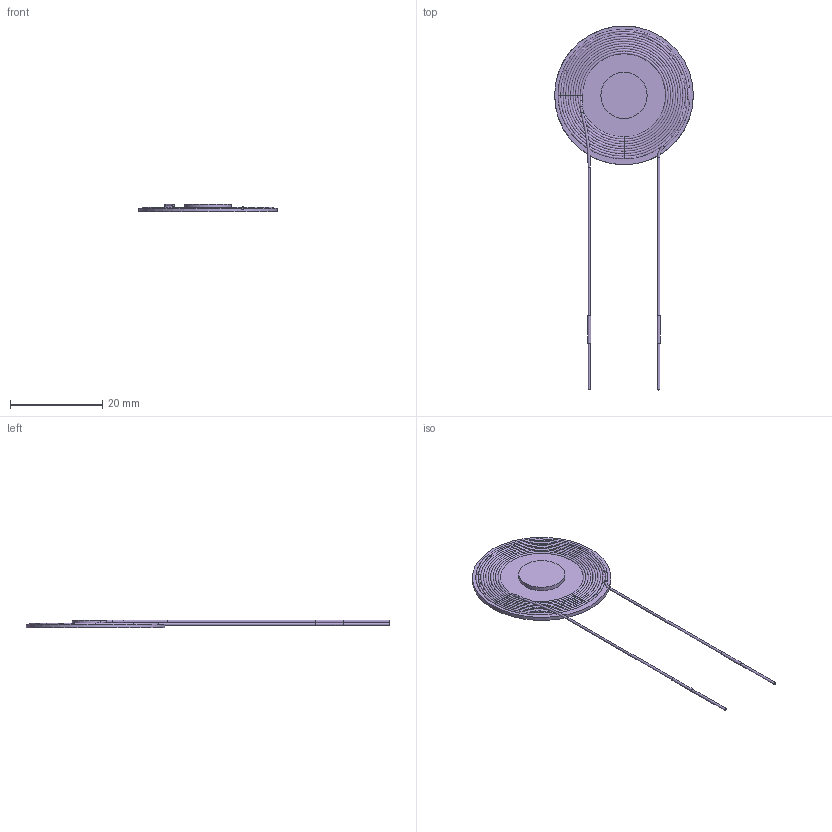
import cadquery as cq
import math

disc_diameter = 30.0
disc_thickness = 0.8
pad_diameter = 10.0
total_height = 1.7
total_length = 78.72

wire_diameter = 0.5
turn_count = 10
turn_pitch = 0.53
first_turn_radius = 9.25
coil_z = disc_thickness
last_turn_radius = first_turn_radius + (turn_count - 1) * turn_pitch
START_ANGLE = 180
STEP_ANGLE = -90

lead_x = 7.5
lead_end_y = disc_diameter / 2 - total_length
sleeve_diameter = 0.6
sleeve_start_y = -47.6
sleeve_end_y = -53.6

raised_z = total_height - sleeve_diameter / 2
climb_end_y = -2.4
inner_turn_end_y = -3.7
inner_bend_end_y = -15.5

outer_bend_radius = 3.0

BACKWARD = cq.Vector(0, -1, 0)
FORWARD = cq.Vector(0, 1, 0)


def make_disc():
    disc = cq.Workplane("XY").circle(disc_diameter / 2).extrude(disc_thickness)
    pad = cq.Workplane("XY").circle(pad_diameter / 2).extrude(total_height)
    return disc.union(pad)


def sweep_wire(start, direction, edges):
    """Round wire along joined edges, beginning at start and heading in direction."""
    plane = cq.Plane(origin=start, normal=direction)
    path = cq.Workplane(cq.Wire.assembleEdges(edges))
    return cq.Workplane(plane).circle(wire_diameter / 2).sweep(path)


def coil_point(radius, degrees):
    angle = math.radians(degrees)
    return cq.Vector(radius * math.cos(angle), radius * math.sin(angle), coil_z)


def turn_arc(radius, end_angle):
    """Clockwise arc from START_ANGLE to end_angle."""
    middle_angle = (START_ANGLE + end_angle) / 2
    return cq.Edge.makeThreePointArc(
        coil_point(radius, START_ANGLE),
        coil_point(radius, middle_angle),
        coil_point(radius, end_angle),
    )


def make_turn(radius):
    """Circular three quarters of a turn."""
    return sweep_wire(coil_point(radius, START_ANGLE), FORWARD, [turn_arc(radius, STEP_ANGLE)])


def make_step(radius):
    """Quarter ellipse joining a turn to the next larger one."""
    next_radius = radius + turn_pitch
    quarter_ellipse = cq.Edge.makeEllipse(
        next_radius,
        radius,
        pnt=cq.Vector(0, 0, coil_z),
        angle1=START_ANGLE,
        angle2=STEP_ANGLE + 360,
        sense=1,
    )
    return sweep_wire(coil_point(next_radius, START_ANGLE), BACKWARD, [quarter_ellipse])


def make_straight_lead(x, start_y, z):
    """Straight wire toward -Y with its sleeve."""

    def cylinder(diameter, from_y, to_y):
        plane = cq.Plane(origin=(x, from_y, z), xDir=(1, 0, 0), normal=BACKWARD)
        return cq.Workplane(plane).circle(diameter / 2).extrude(from_y - to_y)

    wire = cylinder(wire_diameter, start_y, lead_end_y)
    sleeve = cylinder(sleeve_diameter, sleeve_start_y, sleeve_end_y)
    return wire.union(sleeve)


def make_inner_lead():
    start = cq.Vector(-first_turn_radius, 0, coil_z)
    climb_end = cq.Vector(-first_turn_radius, climb_end_y, raised_z)
    bend_end = cq.Vector(-lead_x, inner_bend_end_y, raised_z)
    climb_middle = (start + climb_end) * 0.5
    turn_share = (inner_turn_end_y - climb_end_y) / (inner_bend_end_y - climb_end_y)
    turn_end = climb_end + (bend_end - climb_end) * turn_share

    lower_climb = cq.Edge.makeTangentArc(start, BACKWARD, climb_middle)
    upper_climb = cq.Edge.makeTangentArc(climb_middle, lower_climb.tangentAt(1), climb_end)
    turn = cq.Edge.makeTangentArc(climb_end, BACKWARD, turn_end)
    bend = cq.Edge.makeTangentArc(turn_end, turn.tangentAt(1), bend_end)
    curved = sweep_wire(start, BACKWARD, [lower_climb, upper_climb, turn, bend])
    return curved.union(make_straight_lead(-lead_x, inner_bend_end_y, raised_z))


def make_last_turn_and_outer_lead():
    bend_center_x = lead_x + outer_bend_radius
    center_distance = last_turn_radius + outer_bend_radius
    bend_center_y = -math.sqrt(center_distance**2 - bend_center_x**2)
    touch_angle = math.degrees(math.atan2(bend_center_y, bend_center_x))
    touch_point = coil_point(last_turn_radius, touch_angle)
    bend_end = cq.Vector(lead_x, bend_center_y, coil_z)

    turn = turn_arc(last_turn_radius, touch_angle)
    bend = cq.Edge.makeTangentArc(touch_point, turn.tangentAt(1), bend_end)
    curved = sweep_wire(coil_point(last_turn_radius, START_ANGLE), FORWARD, [turn, bend])
    return curved.union(make_straight_lead(lead_x, bend_center_y, coil_z))


result = make_disc()
for turn_index in range(turn_count - 1):
    turn_radius = first_turn_radius + turn_index * turn_pitch
    result = result.union(make_turn(turn_radius))
    result = result.union(make_step(turn_radius))
result = result.union(make_last_turn_and_outer_lead())
result = result.union(make_inner_lead())